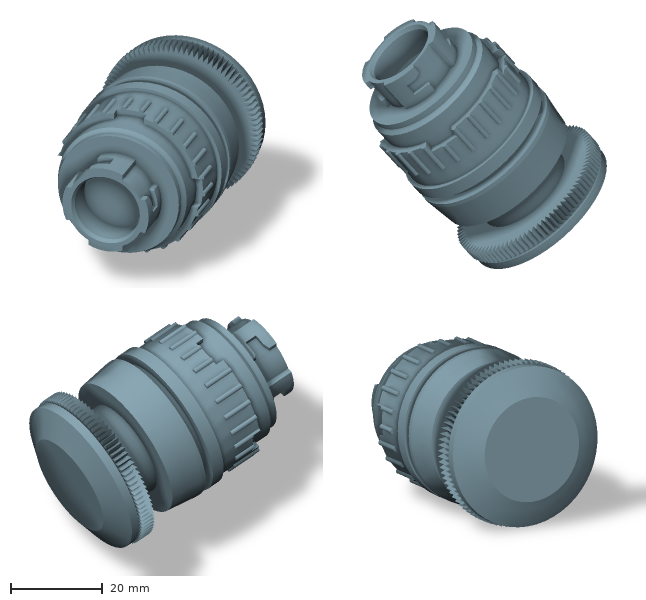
import cadquery as cq
import math

COUPLING_LENGTH = 8.0
SPIGOT_CHAMFER_START = 9.5
SLEEVE_REAR = 14.5
RIB_FRONT = 21.5
FLANGE_REAR = 25.5
FLANGE_FRONT = 28.5
BEZEL_REAR = 30.5
BEZEL_TAPER_START = 31.5
BEZEL_FRONT = 39.0
KNURL_REAR = 45.5
KNURL_FRONT = 49.0
CAP_REAR = 49.5
CAP_TAPER_START = 51.5
CAP_FRONT = 54.5

COUPLING_DIAMETER = 18.0
SPIGOT_DIAMETER = 28.16
CORE_DIAMETER = 30.0
SLEEVE_DIAMETER = 33.0
FLANGE_DIAMETER = 35.0
STEM_DIAMETER = 22.0
CAP_DIAMETER = 36.0
CAP_FACE_DIAMETER = 23.5

KNURL_TEETH = 90
KNURL_TIP_DIAMETER = 37.0
KNURL_ROOT_DIAMETER = 33.0

RIB_COUNT = 25
RIB_RADIUS = 0.6
NOTCH_COUNT = 4
NOTCH_WIDTH = 7.0
NOTCH_LENGTH = 2.0

KEY_WIDTH = 4.0
KEY_REACH = 16.3

LUG_COUNT = 4
LUG_DIAMETER = 20.1
LUG_WIDTH = 8.0
SLOT_REAR = 2.6
SLOT_FRONT = 5.5
SLOT_LEAD_LENGTH = 1.4
SLOT_LEAD_DEPTH = 0.6
SLOT_CORNER_RADIUS = 0.3

BORE_MOUTH_DIAMETER = 16.0
BORE_TAPER_DEPTH = 1.0
BORE_TAPER_ANGLE = 25.0
BORE_DEPTH = 7.0


def section_at(station):
    """Workplane across the axis at a station, with local axes X and Z; extrude negative to go +Y."""
    return cq.Workplane("XZ", origin=(0, station, 0))


def disc(diameter, start, end):
    return section_at(start).circle(diameter / 2).extrude(start - end)


def turned(profile):
    """Solid of revolution about Y from (diameter, station) pairs, closed along the axis."""
    first_station = profile[0][1]
    last_station = profile[-1][1]
    points = [(0, first_station)]
    points += [(diameter / 2, station) for diameter, station in profile]
    points.append((0, last_station))
    return cq.Workplane("XY").polyline(points).close().revolve(360, (0, 0, 0), (0, 1, 0))


def turn_about_axis(solid, angle):
    return solid.rotate((0, 0, 0), (0, 1, 0), angle)


def make_body():
    chamfer = (CORE_DIAMETER - SPIGOT_DIAMETER) / 2
    return turned([
        (COUPLING_DIAMETER, 0),
        (COUPLING_DIAMETER, COUPLING_LENGTH),
        (SPIGOT_DIAMETER, COUPLING_LENGTH),
        (SPIGOT_DIAMETER, SPIGOT_CHAMFER_START),
        (CORE_DIAMETER, SPIGOT_CHAMFER_START + chamfer),
        (CORE_DIAMETER, SLEEVE_REAR),
        (SLEEVE_DIAMETER, SLEEVE_REAR),
        (SLEEVE_DIAMETER, FLANGE_REAR),
        (FLANGE_DIAMETER, FLANGE_REAR),
        (FLANGE_DIAMETER, FLANGE_FRONT),
        (CORE_DIAMETER, FLANGE_FRONT),
        (CORE_DIAMETER, BEZEL_REAR),
        (FLANGE_DIAMETER, BEZEL_REAR),
        (FLANGE_DIAMETER, BEZEL_TAPER_START),
        (SLEEVE_DIAMETER, BEZEL_FRONT),
        (STEM_DIAMETER, BEZEL_FRONT),
        (STEM_DIAMETER, KNURL_REAR),
        (CORE_DIAMETER, KNURL_REAR),
        (CORE_DIAMETER, CAP_REAR),
        (CAP_DIAMETER, CAP_REAR),
        (CAP_DIAMETER, CAP_TAPER_START),
        (CAP_FACE_DIAMETER, CAP_FRONT),
    ])


def make_knurled_ring():
    """Ring of pointed teeth, with one tip on the X axis."""
    half_pitch = math.pi / KNURL_TEETH
    outline = []
    for corner in range(2 * KNURL_TEETH):
        is_tip = corner % 2 == 0
        radius = (KNURL_TIP_DIAMETER if is_tip else KNURL_ROOT_DIAMETER) / 2
        angle = corner * half_pitch
        outline.append((radius * math.cos(angle), radius * math.sin(angle)))
    return section_at(KNURL_REAR).polyline(outline).close().extrude(KNURL_REAR - KNURL_FRONT)


def make_ribs():
    """Half-round grip ribs centred on the sleeve surface, the first one at -Z."""
    ribs = section_at(SLEEVE_REAR).polarArray(SLEEVE_DIAMETER / 2, -90, 360, RIB_COUNT)
    return ribs.circle(RIB_RADIUS).extrude(SLEEVE_REAR - RIB_FRONT)


def make_notches():
    """Square notches in the rear rim of the sleeve, bottoming on the core diameter."""
    reach = SLEEVE_DIAMETER / 2 + 2 * RIB_RADIUS
    bar = section_at(SLEEVE_REAR).rect(2 * reach, NOTCH_WIDTH).extrude(-NOTCH_LENGTH)
    bars = bar.union(turn_about_axis(bar, 360 / NOTCH_COUNT))
    return bars.cut(disc(CORE_DIAMETER, SLEEVE_REAR, SLEEVE_REAR + NOTCH_LENGTH))


def make_key():
    """Key across the panel groove on the +X side."""
    return (
        section_at(FLANGE_FRONT)
        .center(KEY_REACH / 2, 0)
        .rect(KEY_REACH, KEY_WIDTH)
        .extrude(FLANGE_FRONT - BEZEL_REAR)
    )


def make_lug():
    """Bayonet lug at +Z, with a slot running in from its -X side to the middle."""
    side = LUG_WIDTH / 2
    lug_height = LUG_DIAMETER / 2
    outline = (
        cq.Workplane("XY")
        .moveTo(-side, 0)
        .lineTo(side, 0)
        .lineTo(side, COUPLING_LENGTH)
        .lineTo(-side, COUPLING_LENGTH)
        .lineTo(-side, SLOT_FRONT + SLOT_CORNER_RADIUS)
        .radiusArc((-side + SLOT_CORNER_RADIUS, SLOT_FRONT), SLOT_CORNER_RADIUS)
        .lineTo(0, SLOT_FRONT)
        .lineTo(0, SLOT_REAR)
        .lineTo(-side + SLOT_LEAD_LENGTH, SLOT_REAR)
        .lineTo(-side, SLOT_REAR - SLOT_LEAD_DEPTH)
        .close()
        .extrude(lug_height)
    )
    return outline.intersect(disc(LUG_DIAMETER, 0, COUPLING_LENGTH))


def make_bore():
    taper = BORE_TAPER_DEPTH * math.tan(math.radians(BORE_TAPER_ANGLE))
    bore_diameter = BORE_MOUTH_DIAMETER - 2 * taper
    return turned([
        (BORE_MOUTH_DIAMETER, 0),
        (bore_diameter, BORE_TAPER_DEPTH),
        (bore_diameter, BORE_DEPTH),
    ])


result = make_body().union(make_knurled_ring()).union(make_ribs()).union(make_key())
result = result.cut(make_notches())
lug = make_lug()
for index in range(LUG_COUNT):
    result = result.union(turn_about_axis(lug, index * 360 / LUG_COUNT))
result = result.cut(make_bore())